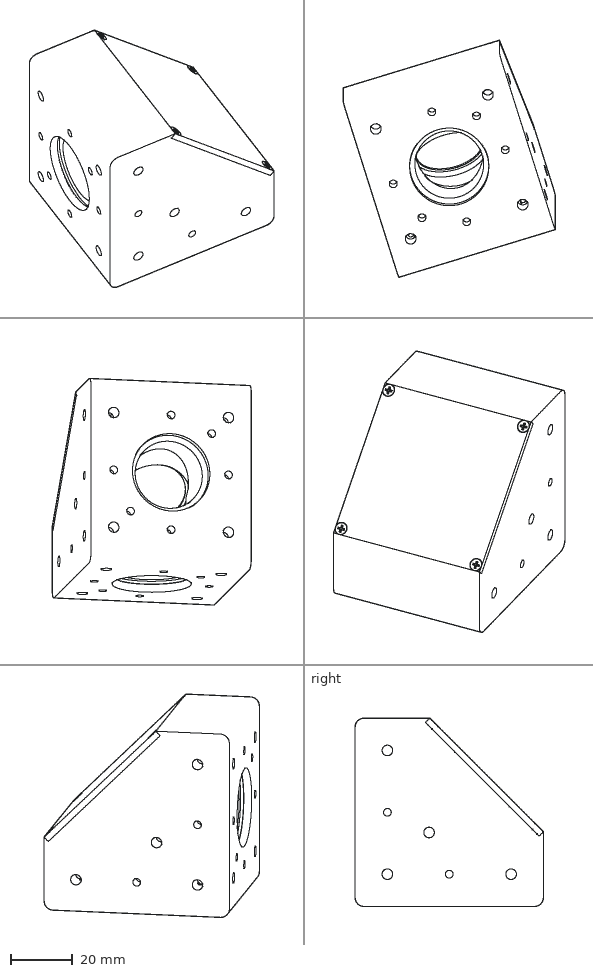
import cadquery as cq
import math

SIDE = 61.0
WIDTH = 53.0
BEVEL_LEG = 36.8
EDGE_RADIUS = 3.0

BORE_RADIUS = 11.1
PORT_RADIUS = 12.8
PORT_DEPTH = 3.8
RELIEF_WIDTH = 1.1
RELIEF_DEPTH = 0.75

LIP_RADIUS = 12.0
LIP_THICKNESS = 2.1
MIRROR_RADIUS = 12.5
SPACER_INNER_RADIUS = 11.0
SPACER_THICKNESS = 0.5

COVER_THICKNESS = 2.0
SCREW_INSET = 2.0
HEAD_RADIUS = 1.95
SINK_RADIUS = 2.1
SHANK_RADIUS = 1.0
HEAD_ANGLE = 90.0
SCREW_LENGTH = 6.1
CROSS_LENGTH = 2.25
CROSS_WIDTH = 0.5
CROSS_DEPTH = 0.6

LARGE_HOLE_DIAMETER = 3.4
LARGE_HOLE_DEPTH = 8.4
SMALL_HOLE_DIAMETER = 2.5
SMALL_HOLE_DEPTH = 6.1
DRILL_TIP_ANGLE = 118.0
PORT_HOLE_OFFSET = 19.0
SIDE_HOLE_OFFSET = 20.0
SIDE_INNER_OFFSET = 6.5

HALF = SIDE / 2
BEVEL_START = HALF - BEVEL_LEG
COVER_LENGTH = BEVEL_LEG * math.sqrt(2)
COVER_TOP = (HALF + BEVEL_START) / math.sqrt(2)
COVER_BOTTOM = COVER_TOP - COVER_THICKNESS
LIP_BACK = -SPACER_THICKNESS
LIP_FRONT = LIP_BACK - LIP_THICKNESS
PIN_OFFSET = PORT_HOLE_OFFSET / math.sqrt(2)

FRONT_FACE = cq.Plane(origin=(0, -HALF, 0), xDir=(1, 0, 0), normal=(0, -1, 0))
BOTTOM_FACE = cq.Plane(origin=(0, 0, -HALF), xDir=(1, 0, 0), normal=(0, 0, -1))
LEFT_FACE = cq.Plane(origin=(-WIDTH / 2, 0, 0), xDir=(0, 1, 0), normal=(-1, 0, 0))
RIGHT_FACE = cq.Plane(origin=(WIDTH / 2, 0, 0), xDir=(0, 1, 0), normal=(1, 0, 0))


def diagonal(height):
    """Workplane parallel to the mirror face, at a distance from it toward the cover."""
    plane = cq.Plane(origin=(0, 0, 0), xDir=(1, 0, 0), normal=(0, 1, 1))
    return cq.Workplane(plane).workplane(offset=height)


def drilled_hole(plane, x, y, diameter, depth):
    """Blind hole with a conical tip, as a cutting tool, entering the face from outside."""
    radius = diameter / 2
    tip_length = radius / math.tan(math.radians(DRILL_TIP_ANGLE / 2))
    inward = plane.zDir * -1
    start = plane.toWorldCoords((x, y, 0))
    straight = cq.Solid.makeCylinder(radius, depth, start, inward)
    tip = cq.Solid.makeCone(radius, 0, tip_length, start + inward * depth, inward)
    return straight.fuse(tip)


def drill(body, plane, points, diameter, depth):
    """Cut the same blind hole at each point of a face."""
    for x, y in points:
        body = body.cut(cq.Workplane(drilled_hole(plane, x, y, diameter, depth)))
    return body


def housing_block():
    outline = [
        (-HALF, -HALF),
        (HALF, -HALF),
        (HALF, BEVEL_START),
        (BEVEL_START, HALF),
        (-HALF, HALF),
    ]
    block = cq.Workplane("YZ").polyline(outline).close().extrude(WIDTH / 2, both=True)
    front_edges = block.faces("<Y").edges("|X")
    back_bottom_edge = block.faces("<Z").edges("|X and >Y")
    return front_edges.add(back_bottom_edge).fillet(EDGE_RADIUS)


def light_path():
    """Both bores, ending together at the front of the mirror lip."""
    bores = cq.Workplane(FRONT_FACE).circle(BORE_RADIUS).extrude(-SIDE)
    bores = bores.union(cq.Workplane(BOTTOM_FACE).circle(BORE_RADIUS).extrude(-SIDE))
    in_front_of_lip = diagonal(LIP_FRONT).rect(2 * SIDE, 2 * SIDE).extrude(-2 * SIDE)
    return bores.intersect(in_front_of_lip)


def port_recess(plane):
    recess = cq.Workplane(plane).circle(PORT_RADIUS).extrude(-PORT_DEPTH)
    relief = (
        cq.Workplane(plane).workplane(offset=-PORT_DEPTH)
        .circle(PORT_RADIUS + RELIEF_DEPTH).extrude(RELIEF_WIDTH)
    )
    return recess.union(relief)


def mirror_seat():
    lip_opening = diagonal(LIP_FRONT).circle(LIP_RADIUS).extrude(LIP_THICKNESS)
    pocket = diagonal(LIP_BACK).circle(MIRROR_RADIUS).extrude(COVER_BOTTOM - LIP_BACK)
    return lip_opening.union(pocket)


def drill_port_holes(body, plane):
    a = PORT_HOLE_OFFSET
    corners = [(-a, -a), (a, -a), (a, a), (-a, a)]
    on_axes = [(-a, 0), (a, 0), (0, -a), (0, a)]
    pins = [(PIN_OFFSET, PIN_OFFSET), (-PIN_OFFSET, -PIN_OFFSET)]
    body = drill(body, plane, corners, LARGE_HOLE_DIAMETER, LARGE_HOLE_DEPTH)
    return drill(body, plane, on_axes + pins, SMALL_HOLE_DIAMETER, SMALL_HOLE_DEPTH)


def drill_side_holes(body, plane):
    a = SIDE_HOLE_OFFSET
    up = plane.yDir.z
    large = [(-a, a), (-a, -a), (a, -a), (-SIDE_INNER_OFFSET, -SIDE_INNER_OFFSET)]
    small = [(-a, 0), (0, -a)]
    large_points = [(y, z * up) for y, z in large]
    small_points = [(y, z * up) for y, z in small]
    body = drill(body, plane, large_points, LARGE_HOLE_DIAMETER, LARGE_HOLE_DEPTH)
    return drill(body, plane, small_points, SMALL_HOLE_DIAMETER, SMALL_HOLE_DEPTH)


def screw_points():
    x = WIDTH / 2 - SCREW_INSET
    y = COVER_LENGTH / 2 - SCREW_INSET
    return [(-x, -y), (x, -y), (x, y), (-x, y)]


def cover_blank():
    return diagonal(COVER_BOTTOM).rect(WIDTH, COVER_LENGTH).extrude(COVER_THICKNESS)


def make_housing():
    body = housing_block()
    body = body.cut(cover_blank())
    body = body.cut(light_path())
    body = body.cut(mirror_seat())
    for face in (FRONT_FACE, BOTTOM_FACE):
        body = body.cut(port_recess(face))
        body = drill_port_holes(body, face)
    for face in (LEFT_FACE, RIGHT_FACE):
        body = drill_side_holes(body, face)
    screw_holes = (
        diagonal(COVER_TOP - SCREW_LENGTH).pushPoints(screw_points())
        .circle(SHANK_RADIUS).extrude(SCREW_LENGTH)
    )
    return body.cut(screw_holes)


def make_cover():
    return (
        cover_blank().faces(">(0, 1, 1)").workplane(origin=(0, 0, 0))
        .pushPoints(screw_points())
        .cskHole(2 * SHANK_RADIUS, 2 * SINK_RADIUS, HEAD_ANGLE)
    )


def make_mirror():
    return diagonal(0).circle(MIRROR_RADIUS).extrude(COVER_BOTTOM)


def make_spacer():
    return (
        diagonal(LIP_BACK).circle(MIRROR_RADIUS).circle(SPACER_INNER_RADIUS)
        .extrude(SPACER_THICKNESS)
    )


def make_screw(x, y):
    """Countersunk screw with a conical head and a cross recess, flush with the cover."""
    head_height = (HEAD_RADIUS - SHANK_RADIUS) / math.tan(math.radians(HEAD_ANGLE / 2))
    top = diagonal(COVER_TOP).center(x, y)
    shank = top.circle(SHANK_RADIUS).extrude(-SCREW_LENGTH)
    head = top.circle(HEAD_RADIUS).extrude(-head_height, taper=HEAD_ANGLE / 2)
    cross = top.rect(CROSS_LENGTH, CROSS_WIDTH).extrude(-CROSS_DEPTH)
    cross = cross.union(top.rect(CROSS_WIDTH, CROSS_LENGTH).extrude(-CROSS_DEPTH))
    return shank.union(head).cut(cross)


housing = make_housing()
cover = make_cover()
mirror = make_mirror()
spacer = make_spacer()
screws = [make_screw(x, y) for x, y in screw_points()]

result = cq.Compound.makeCompound([
    housing.val(),
    cover.val(),
    mirror.val(),
    spacer.val(),
    *[screw.val() for screw in screws],
])